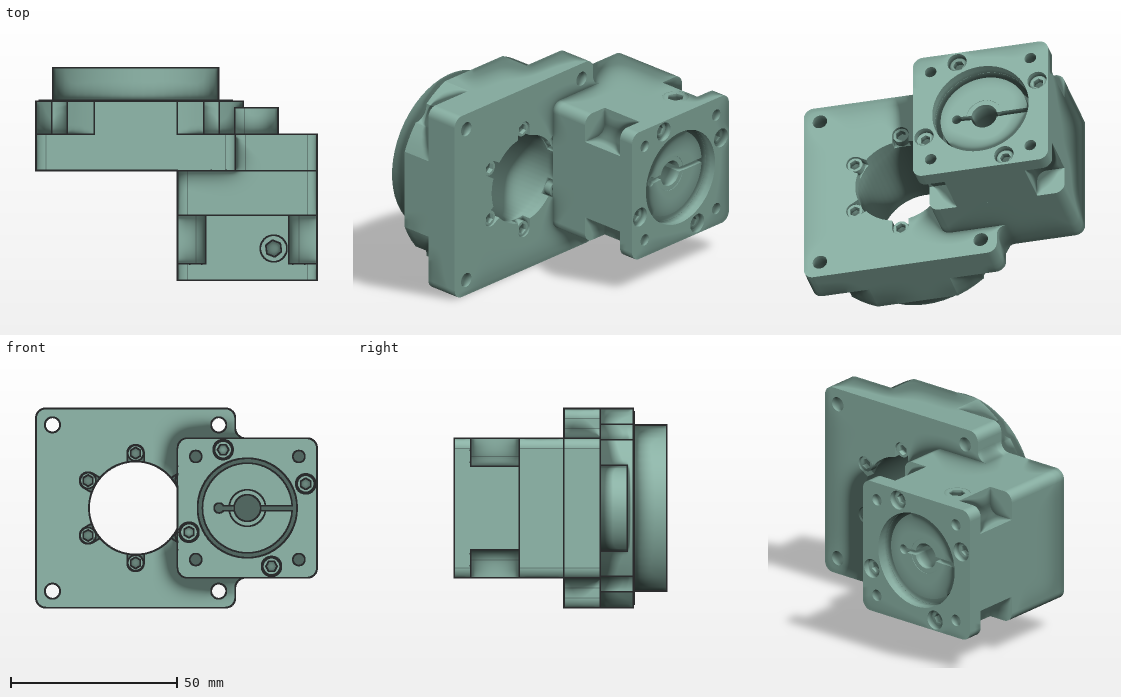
import cadquery as cq
import math


TABLE_DIAMETER = 50
TABLE_THICKNESS = 9.8
COLLAR_DIAMETER = 58
COLLAR_HEIGHT = 0.3
BODY_DIAMETER = 65
PLATE_SIZE = 60
PLATE_Y = -20
HOUSING_FRONT_Y = -31
BORE_DIAMETER = 28
MOUNT_PITCH = 50
MOUNT_HOLE_DIAMETER = 4.5
MOUNT_RELIEF_RADIUS = 4.5
CORNER_RADIUS = 3

COVER_X = 30.3
COVER_RADIUS = 12.6
COVER_BACK_Y = -12
COVER_FLANK_ANGLE = 11
COVER_ROOT_X = 17

BORE_SCREW_COUNT = 6
BORE_SCREW_CIRCLE_RADIUS = 16.5
BORE_POCKET_WIDTH = 5.1
BORE_POCKET_DEPTH = 3
BORE_HEAD_DIAMETER = 4.7
BORE_HEAD_RECESS = 0.6
BORE_HEX_DIAMETER = 3.4
BORE_HEX_DEPTH = 2
BORE_HEX_ANGLE = 30

DRIVE_X = 33.6
DRIVE_SIZE = 42
SPACER_FRONT_Y = -44.4
FLANGE_FRONT_Y = -64
FLANGE_PLATE_THICKNESS = 5
NOTCH_SIZE = 8.5
MOTOR_HOLE_PITCH = 31
MOTOR_HOLE_DIAMETER = 3.6

FLANGE_SCREW_COUNT = 4
FLANGE_SCREW_CIRCLE_RADIUS = 19
FLANGE_SCREW_START_ANGLE = 22.5
FLANGE_COUNTERBORE_DIAMETER = 6
FLANGE_COUNTERBORE_DEPTH = 4
FLANGE_HEAD_DIAMETER = 5.2
FLANGE_HEAD_RECESS = 1.8
FLANGE_HEX_DIAMETER = 3.4
FLANGE_HEX_DEPTH = 2
FLANGE_HEX_ANGLE = -7.5

PILOT_DIAMETER = 30
PILOT_DEPTH = 3.8
HUB_RECESS = 0.4
GROOVE_DIAMETER = 29.9
HUB_DIAMETER = 27
HUB_HEIGHT = 8
SLEEVE_DIAMETER = 11
SLEEVE_RECESS = 0.15
SHAFT_DIAMETER = 8
SHAFT_DEPTH = 14
SLIT_WIDTH = 1.5
SLIT_END_X = -8.5
SLIT_END_DIAMETER = 3

CLAMP_SCREW_X = 41.5
CLAMP_SCREW_SETBACK = 9.6
CLAMP_HEAD_DIAMETER = 8
CLAMP_HEAD_RECESS = 0.1
CLAMP_HEX_DIAMETER = 5.1
CLAMP_HEX_DEPTH = 4
CLAMP_HEX_ANGLE = 38


def sketch(back_y):
    """XZ workplane at the given Y; a positive extrusion runs towards -Y."""
    return cq.Workplane("XZ", origin=(0, back_y, 0))


def cylinder(diameter, back_y, front_y, x=0, z=0):
    return sketch(back_y).center(x, z).circle(diameter / 2).extrude(back_y - front_y)


def rounded_square(size, back_y, front_y, x=0):
    block = sketch(back_y).center(x, 0).rect(size, size).extrude(back_y - front_y)
    return block.edges("|Y").fillet(CORNER_RADIUS)


def hex_socket(diameter, depth, face_y, angle):
    """Hexagonal prism about the Y axis, sunk from a face that looks towards -Y."""
    prism = sketch(face_y + depth).polygon(6, diameter).extrude(depth)
    return prism.rotate((0, 0, 0), (0, 1, 0), angle)


def square_pattern(pitch):
    half = pitch / 2
    return [(-half, -half), (half, -half), (-half, half), (half, half)]


def base_plate():
    """Square plate joined to the smaller drive pad, with fillets where they meet."""
    search_margin = 1
    plate = rounded_square(PLATE_SIZE, PLATE_Y, HOUSING_FRONT_Y)
    pad = rounded_square(DRIVE_SIZE, PLATE_Y, HOUSING_FRONT_Y, DRIVE_X)
    plate = plate.union(pad)
    plate_edge = PLATE_SIZE / 2
    pad_edge = DRIVE_SIZE / 2
    for side in (-1, 1):
        corner = cq.selectors.BoxSelector(
            (plate_edge - search_margin, HOUSING_FRONT_Y, side * pad_edge - search_margin),
            (plate_edge + search_margin, PLATE_Y, side * pad_edge + search_margin),
        )
        plate = plate.edges("|Y").edges(corner).fillet(CORNER_RADIUS)
    return plate


def housing_body():
    """Round body with flats on three sides and reliefs around the mounting holes."""
    back_y = -TABLE_THICKNESS - COLLAR_HEIGHT
    length = back_y - PLATE_Y
    body = cylinder(BODY_DIAMETER, back_y, PLATE_Y)
    half = PLATE_SIZE / 2
    envelope = sketch(back_y).center(half, 0).rect(2 * PLATE_SIZE, PLATE_SIZE).extrude(length)
    reliefs = sketch(back_y).pushPoints(square_pattern(MOUNT_PITCH))
    reliefs = reliefs.circle(MOUNT_RELIEF_RADIUS).extrude(length)
    return body.intersect(envelope).cut(reliefs)


def gear_cover():
    """Cover with a round end, whose tangent flanks run back into the housing body."""
    slope = math.radians(COVER_FLANK_ANGLE)
    tangent_x = COVER_X + COVER_RADIUS * math.sin(slope)
    tangent_z = COVER_RADIUS * math.cos(slope)
    root_z = tangent_z + (tangent_x - COVER_ROOT_X) * math.tan(slope)
    return (
        sketch(COVER_BACK_Y)
        .moveTo(COVER_ROOT_X, -root_z)
        .lineTo(tangent_x, -tangent_z)
        .threePointArc((COVER_X + COVER_RADIUS, 0), (tangent_x, tangent_z))
        .lineTo(COVER_ROOT_X, root_z)
        .close()
        .extrude(COVER_BACK_Y - PLATE_Y)
    )


def bore_pocket():
    """Round-ended pocket at the top of the bore, opening into it."""
    floor_y = HOUSING_FRONT_Y + BORE_POCKET_DEPTH
    end = cylinder(BORE_POCKET_WIDTH, floor_y, HOUSING_FRONT_Y, z=BORE_SCREW_CIRCLE_RADIUS)
    channel = (
        sketch(floor_y)
        .center(0, BORE_SCREW_CIRCLE_RADIUS / 2)
        .rect(BORE_POCKET_WIDTH, BORE_SCREW_CIRCLE_RADIUS)
        .extrude(BORE_POCKET_DEPTH)
    )
    return end.union(channel)


def bore_screw_head():
    floor_y = HOUSING_FRONT_Y + BORE_POCKET_DEPTH
    face_y = HOUSING_FRONT_Y + BORE_HEAD_RECESS
    head = cylinder(BORE_HEAD_DIAMETER, floor_y, face_y)
    head = head.cut(hex_socket(BORE_HEX_DIAMETER, BORE_HEX_DEPTH, face_y, BORE_HEX_ANGLE))
    return head.translate((0, 0, BORE_SCREW_CIRCLE_RADIUS))


def make_housing():
    table = cylinder(TABLE_DIAMETER, 0, -TABLE_THICKNESS)
    collar = cylinder(COLLAR_DIAMETER, -TABLE_THICKNESS, -TABLE_THICKNESS - COLLAR_HEIGHT)
    housing = base_plate().union(housing_body()).union(gear_cover()).union(collar).union(table)
    housing = housing.cut(cylinder(BORE_DIAMETER, 0, HOUSING_FRONT_Y))
    for x, z in square_pattern(MOUNT_PITCH):
        housing = housing.cut(cylinder(MOUNT_HOLE_DIAMETER, PLATE_Y, HOUSING_FRONT_Y, x, z))
    for index in range(BORE_SCREW_COUNT):
        angle = index * 360 / BORE_SCREW_COUNT
        housing = housing.cut(bore_pocket().rotate((0, 0, 0), (0, 1, 0), angle))
        housing = housing.union(bore_screw_head().rotate((0, 0, 0), (0, 1, 0), angle))
    return housing


def make_spacer():
    return rounded_square(DRIVE_SIZE, HOUSING_FRONT_Y, SPACER_FRONT_Y, DRIVE_X)


def corner_notches():
    """Cut-outs behind the flange corners, rounded along their inner edges."""
    front_y = FLANGE_FRONT_Y + FLANGE_PLATE_THICKNESS
    cutters = sketch(SPACER_FRONT_Y).pushPoints(square_pattern(DRIVE_SIZE))
    cutters = cutters.rect(2 * NOTCH_SIZE, 2 * NOTCH_SIZE).extrude(SPACER_FRONT_Y - front_y)
    return cutters.edges("|Y").fillet(CORNER_RADIUS)


def cut_shaft_clamp(flange):
    """Pilot recess with a ring groove around a slit hub that holds the shaft."""
    pilot_y = FLANGE_FRONT_Y + PILOT_DEPTH
    hub_y = pilot_y + HUB_RECESS
    groove_y = hub_y + HUB_HEIGHT
    flange = flange.cut(cylinder(PILOT_DIAMETER, pilot_y, FLANGE_FRONT_Y))
    groove = cylinder(GROOVE_DIAMETER, groove_y, pilot_y).cut(cylinder(HUB_DIAMETER, groove_y, hub_y))
    slit_length = HUB_DIAMETER / 2 - SLIT_END_X
    slit = (
        sketch(groove_y)
        .center(SLIT_END_X + slit_length / 2, 0)
        .rect(slit_length, SLIT_WIDTH)
        .extrude(HUB_HEIGHT)
    )
    slit_end = cylinder(SLIT_END_DIAMETER, groove_y, hub_y, SLIT_END_X)
    sleeve = cylinder(SLEEVE_DIAMETER, hub_y + SLEEVE_RECESS, hub_y)
    shaft_hole = cylinder(SHAFT_DIAMETER, hub_y + SHAFT_DEPTH, hub_y)
    return flange.cut(groove).cut(slit).cut(slit_end).cut(sleeve).cut(shaft_hole)


def flange_screw_head():
    floor_y = FLANGE_FRONT_Y + FLANGE_COUNTERBORE_DEPTH
    face_y = FLANGE_FRONT_Y + FLANGE_HEAD_RECESS
    head = cylinder(FLANGE_HEAD_DIAMETER, floor_y, face_y)
    head = head.cut(hex_socket(FLANGE_HEX_DIAMETER, FLANGE_HEX_DEPTH, face_y, FLANGE_HEX_ANGLE))
    return head.translate((FLANGE_SCREW_CIRCLE_RADIUS, 0, 0))


def add_flange_screws(flange):
    floor_y = FLANGE_FRONT_Y + FLANGE_COUNTERBORE_DEPTH
    counterbore = cylinder(FLANGE_COUNTERBORE_DIAMETER, floor_y, FLANGE_FRONT_Y, FLANGE_SCREW_CIRCLE_RADIUS)
    for index in range(FLANGE_SCREW_COUNT):
        angle = -FLANGE_SCREW_START_ANGLE - index * 360 / FLANGE_SCREW_COUNT
        flange = flange.cut(counterbore.rotate((0, 0, 0), (0, 1, 0), angle))
        flange = flange.union(flange_screw_head().rotate((0, 0, 0), (0, 1, 0), angle))
    return flange


def clamp_screw_recess():
    """Shallow head seat and hex socket, sunk from the top of the flange."""
    top_z = DRIVE_SIZE / 2
    seat = cq.Workplane("XY").circle(CLAMP_HEAD_DIAMETER / 2).extrude(-CLAMP_HEAD_RECESS)
    socket = cq.Workplane("XY").polygon(6, CLAMP_HEX_DIAMETER).extrude(-CLAMP_HEX_DEPTH)
    socket = socket.rotate((0, 0, 0), (0, 0, 1), CLAMP_HEX_ANGLE)
    position = (CLAMP_SCREW_X - DRIVE_X, FLANGE_FRONT_Y + CLAMP_SCREW_SETBACK, top_z)
    return seat.union(socket).translate(position)


def make_motor_flange():
    """Modelled about the Y axis, then moved onto the drive axis."""
    flange = rounded_square(DRIVE_SIZE, SPACER_FRONT_Y, FLANGE_FRONT_Y).cut(corner_notches())
    for x, z in square_pattern(MOTOR_HOLE_PITCH):
        flange = flange.cut(cylinder(MOTOR_HOLE_DIAMETER, SPACER_FRONT_Y, FLANGE_FRONT_Y, x, z))
    flange = cut_shaft_clamp(flange)
    flange = add_flange_screws(flange)
    flange = flange.cut(clamp_screw_recess())
    return flange.translate((DRIVE_X, 0, 0))


housing = make_housing()
spacer = make_spacer()
motor_flange = make_motor_flange()

result = cq.Compound.makeCompound([housing.val(), spacer.val(), motor_flange.val()])